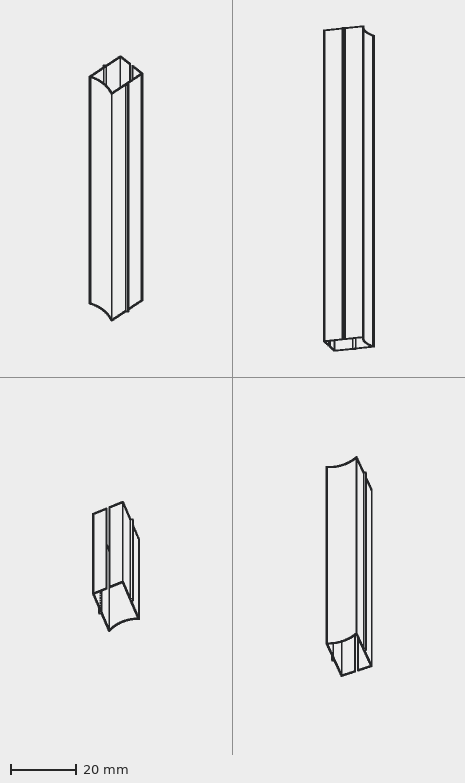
import cadquery as cq

length = 100.0
width = 10.0
depth = 12.9
wall = 0.25
slot_width = 1.0
front_sag = 1.1
rib_height = 0.55
rib_base = 1.1
rib_tip = 0.4

half_width = width / 2
half_depth = depth / 2
inner_half_width = half_width - wall
front_radius = (half_width**2 + front_sag**2) / (2 * front_sag)
front_center_y = -half_depth + front_sag - front_radius
inner_radius = front_radius + wall
inner_corner_y = front_center_y + (inner_radius**2 - inner_half_width**2) ** 0.5


def shell():
    """Rectangular tube whose front wall bows inward."""
    outer = (
        cq.Workplane("XY")
        .moveTo(-half_width, -half_depth)
        .threePointArc((0, -half_depth + front_sag), (half_width, -half_depth))
        .lineTo(half_width, half_depth)
        .lineTo(-half_width, half_depth)
        .close()
        .extrude(length)
    )
    cavity = (
        cq.Workplane("XY")
        .moveTo(-inner_half_width, inner_corner_y)
        .threePointArc((0, front_center_y + inner_radius), (inner_half_width, inner_corner_y))
        .lineTo(inner_half_width, half_depth - wall)
        .lineTo(-inner_half_width, half_depth - wall)
        .close()
        .extrude(length)
    )
    return outer.cut(cavity)


def back_slot():
    """Full-length cutter that opens the middle of the back wall."""
    return (
        cq.Workplane("XY")
        .center(0, half_depth - wall / 2)
        .rect(slot_width, 2 * wall)
        .extrude(length)
    )


def side_rib(side):
    """Full-length tapered rib on one side wall; side is -1 or +1."""
    face_x = side * half_width
    root_x = side * (half_width - wall / 2)
    tip_x = face_x + side * rib_height
    return (
        cq.Workplane("XY")
        .moveTo(root_x, -rib_base / 2)
        .lineTo(face_x, -rib_base / 2)
        .lineTo(tip_x, -rib_tip / 2)
        .lineTo(tip_x, rib_tip / 2)
        .lineTo(face_x, rib_base / 2)
        .lineTo(root_x, rib_base / 2)
        .close()
        .extrude(length)
    )


result = shell().cut(back_slot())
for side in (-1, 1):
    result = result.union(side_rib(side))